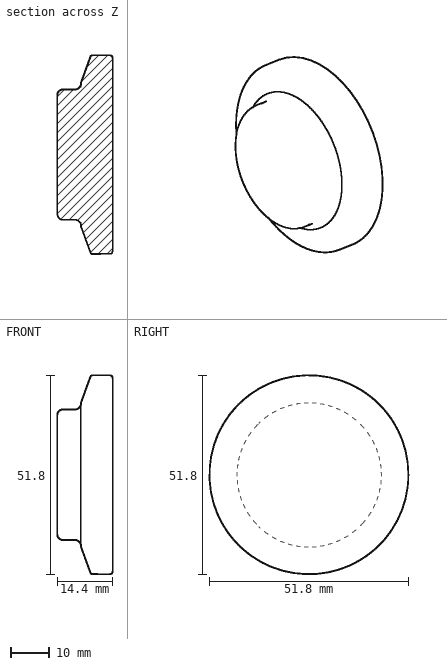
import cadquery as cq
import math

total_length = 14.45
flange_diameter = 51.8
boss_diameter = 34.05

boss_height = 6.15
boss_rounding = 1.5
shoulder_width = 0.25

cone_angle = 20.0
front_rim_rounding = 0.65
back_rim_rounding = 0.8

flange_radius = flange_diameter / 2
boss_radius = boss_diameter / 2
x_front = -total_length / 2
x_back = total_length / 2
x_shoulder = x_front + boss_height
cone_start_radius = boss_radius + boss_rounding + shoulder_width
cone_length = (flange_radius - cone_start_radius) * math.tan(math.radians(cone_angle))
x_rim = x_shoulder + cone_length

match_tolerance = 0.005


def round_ring(body, x, radius, rounding):
    """Round the circular edge of the given radius that lies at position x on the axis."""
    def is_ring(edge):
        same_place = math.isclose(edge.Center().x, x, abs_tol=match_tolerance)
        return same_place and math.isclose(edge.radius(), radius, abs_tol=match_tolerance)

    return body.edges("%CIRCLE").filter(is_ring).fillet(rounding)


half_section = [
    (x_front, 0),
    (x_front, boss_radius),
    (x_shoulder, boss_radius),
    (x_shoulder, cone_start_radius),
    (x_rim, flange_radius),
    (x_back, flange_radius),
    (x_back, 0),
]
plug = cq.Workplane("XY").polyline(half_section).close().revolve(360, (0, 0, 0), (1, 0, 0))

plug = round_ring(plug, x_front, boss_radius, boss_rounding)
plug = round_ring(plug, x_shoulder, boss_radius, boss_rounding)
plug = round_ring(plug, x_rim, flange_radius, front_rim_rounding)
plug = round_ring(plug, x_back, flange_radius, back_rim_rounding)

result = plug